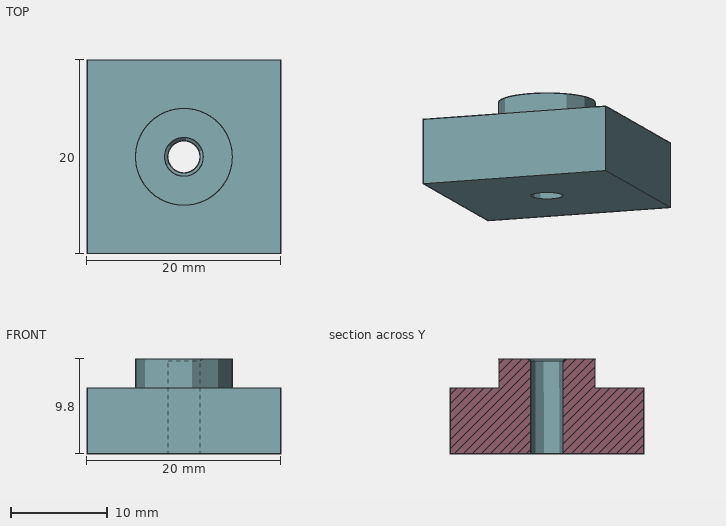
import cadquery as cq

base_side = 20
base_height = 6.8

boss_diameter = base_side / 2
boss_height = 3
total_height = base_height + boss_height

hole_diameter = 3.3
mouth_diameter = 4
mouth_depth = 0.2

base = cq.Workplane("XY").box(base_side, base_side, base_height, centered=(True, True, False))
boss = cq.Workplane("XY").workplane(offset=base_height).circle(boss_diameter / 2).extrude(boss_height)
hole = cq.Workplane("XY").circle(hole_diameter / 2).extrude(total_height)

mouth = (
    cq.Workplane("XY")
    .workplane(offset=total_height - mouth_depth)
    .circle(hole_diameter / 2)
    .workplane(offset=mouth_depth)
    .circle(mouth_diameter / 2)
    .loft(ruled=True)
)

result = base.union(boss).cut(hole).cut(mouth)